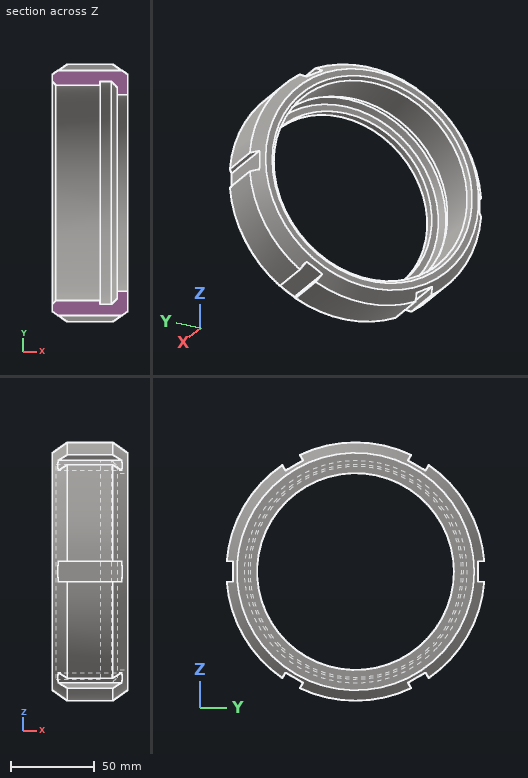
import cadquery as cq

width = 45.0
outer_radius = 77.0
rim_chamfer_length = 9.0
rim_chamfer_depth = 6.3
rim_radius = outer_radius - rim_chamfer_depth

bore_radius = 128.1 / 2
groove_radius = 132.6 / 2
seat_radius = 125.8 / 2
lip_radius = 117.0 / 2
entry_radius = groove_radius
entry_chamfer = entry_radius - bore_radius
groove_start = 28.5
lip_thickness = 6.3
lip_face = width - lip_thickness
groove_end = lip_face - (groove_radius - seat_radius)

slot_count = 6
slot_width = 12.0
slot_floor_radius = 73.0


def make_ring():
    """Revolve the ring section, drawn as (axial position, radius)."""
    section = [
        (0, entry_radius),
        (0, rim_radius),
        (rim_chamfer_length, outer_radius),
        (width - rim_chamfer_length, outer_radius),
        (width, rim_radius),
        (width, lip_radius),
        (lip_face, lip_radius),
        (lip_face, seat_radius),
        (groove_end, groove_radius),
        (groove_start, groove_radius),
        (groove_start, bore_radius),
        (entry_chamfer, bore_radius),
    ]
    return cq.Workplane("XY").polyline(section).close().revolve(360, (0, 0, 0), (1, 0, 0))


def make_slot_cutter(angle):
    """Box with a flat floor, first placed on +Y and then turned about X."""
    return (
        cq.Workplane("XY")
        .box(width, outer_radius, slot_width, centered=(False, False, True))
        .translate((0, slot_floor_radius, 0))
        .rotate((0, 0, 0), (1, 0, 0), angle)
    )


result = make_ring()
for slot_index in range(slot_count):
    result = result.cut(make_slot_cutter(slot_index * 360 / slot_count))